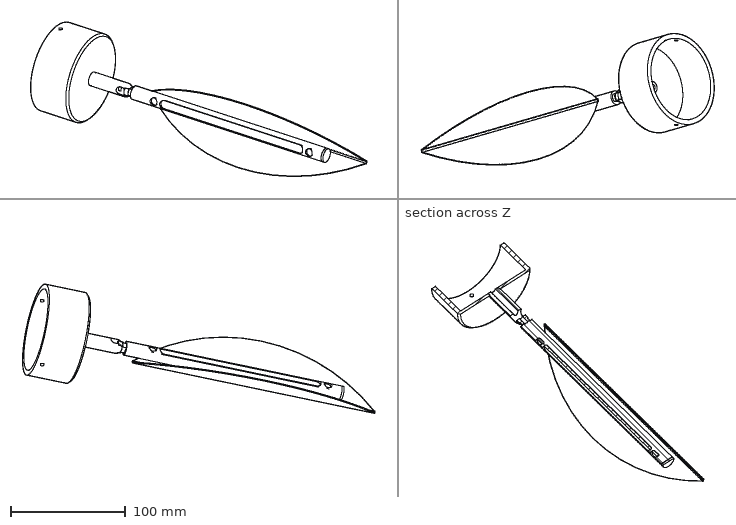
import cadquery as cq
import math

TILT = -11.5

CUP_RADIUS = 40.5
CUP_LENGTH = 38.0
CUP_WALL = 4.5
CUP_FLOOR = 3.0
CUP_CHAMFER = 2.0
SCREW_HOLE_RADIUS = 1.5
SCREW_HOLE_X = 5.5

ROD_RADIUS = 6.2
SPIGOT_RADIUS = 5.0
WIRE_BORE_RADIUS = 2.5
DOME_X = 72.5
ARM_END_X = 77.5
FORK_START_X = 66.5
FORK_WIDTH = 6.5

TONGUE_RADIUS = 5.0
NECK_RADIUS = 4.5
LINK_START_X = 73.5
LINK_BORE_RADIUS = 1.5

TUBE_START_X = 81.0
TUBE_END_X = 276.3
CAP_LENGTH = 2.0

WINDOW_CENTRE_X = 184.0
WINDOW_LENGTH = 146.5
WINDOW_WIDTH = 7.8
DISC_RADIUS = 3.5
DISC_SPACING = 159.2
POCKET_FLOOR_Y = -2.0
INSERT_FACE_Y = -4.0

LEAF_START_X = 91.3
LEAF_END_X = 311.5
LEAF_THICKNESS = 1.0
LEAF_BACK_Y = 12.8
SPINE_WIDTH = 2.5
WING_BULGE = 40.8
WING_ANGLE = 45.0


def rod(radius, start_x, end_x):
    """Cylinder on the X axis."""
    return cq.Workplane("YZ").workplane(offset=start_x).circle(radius).extrude(end_x - start_x)


def tilted(body):
    """The body turned about the X axis by the lamp's tilt."""
    return body.rotate((0, 0, 0), (1, 0, 0), TILT)


def make_cup():
    cup = rod(CUP_RADIUS, 0, CUP_LENGTH).faces(">X").edges().chamfer(CUP_CHAMFER)
    cup = cup.cut(rod(CUP_RADIUS - CUP_WALL, 0, CUP_LENGTH - CUP_FLOOR))
    cup = cup.cut(rod(SPIGOT_RADIUS, 0, CUP_LENGTH))
    screw_holes = (
        cq.Workplane("XY").center(SCREW_HOLE_X, 0).circle(SCREW_HOLE_RADIUS).extrude(CUP_RADIUS, both=True)
    )
    return cup.cut(screw_holes)


def make_arm():
    dome_length = ARM_END_X - DOME_X
    end_face_radius = math.sqrt(ROD_RADIUS**2 - dome_length**2)
    mid_angle = math.asin(dome_length / ROD_RADIUS) / 2
    dome_middle = (DOME_X + ROD_RADIUS * math.sin(mid_angle), ROD_RADIUS * math.cos(mid_angle))
    arm = (
        cq.Workplane("XY")
        .moveTo(CUP_LENGTH - CUP_FLOOR, 0)
        .lineTo(CUP_LENGTH - CUP_FLOOR, SPIGOT_RADIUS)
        .lineTo(CUP_LENGTH, SPIGOT_RADIUS)
        .lineTo(CUP_LENGTH, ROD_RADIUS)
        .lineTo(DOME_X, ROD_RADIUS)
        .threePointArc(dome_middle, (ARM_END_X, end_face_radius))
        .lineTo(ARM_END_X, 0)
        .close()
        .revolve(360, (0, 0, 0), (1, 0, 0))
    )
    arm = arm.cut(rod(WIRE_BORE_RADIUS, CUP_LENGTH - CUP_FLOOR, DOME_X))
    slot_radius = FORK_WIDTH / 2
    slot_centre_x = FORK_START_X + slot_radius
    slot = (
        cq.Workplane("XZ")
        .moveTo(ARM_END_X, slot_radius)
        .lineTo(slot_centre_x, slot_radius)
        .threePointArc((FORK_START_X, 0), (slot_centre_x, -slot_radius))
        .lineTo(ARM_END_X, -slot_radius)
        .close()
        .extrude(ROD_RADIUS, both=True)
    )
    return tilted(arm.cut(slot))


def make_link():
    length = TUBE_START_X - LINK_START_X
    flats = cq.Workplane("XY").box(length, 2 * TONGUE_RADIUS, FORK_WIDTH, centered=(False, True, True))
    tongue = rod(TONGUE_RADIUS, LINK_START_X, ARM_END_X)
    link = tongue.union(rod(NECK_RADIUS, ARM_END_X, TUBE_START_X))
    link = link.intersect(flats.translate((LINK_START_X, 0, 0)))
    return tilted(link.cut(rod(LINK_BORE_RADIUS, LINK_START_X, TUBE_START_X)))


def window_prism(outer_y):
    """Prism with the window's outline, from the pocket floor out to outer_y."""
    return (
        cq.Workplane("XZ")
        .workplane(offset=-POCKET_FLOOR_Y)
        .center(WINDOW_CENTRE_X, 0)
        .slot2D(WINDOW_LENGTH, WINDOW_WIDTH)
        .extrude(POCKET_FLOOR_Y - outer_y)
    )


def disc_prism(side, outer_y):
    """Round prism beyond one end of the window, from the pocket floor out to outer_y."""
    return (
        cq.Workplane("XZ")
        .workplane(offset=-POCKET_FLOOR_Y)
        .center(WINDOW_CENTRE_X + side * DISC_SPACING / 2, 0)
        .circle(DISC_RADIUS)
        .extrude(POCKET_FLOOR_Y - outer_y)
    )


def make_tube():
    tube = rod(ROD_RADIUS, TUBE_START_X, TUBE_END_X).cut(window_prism(-ROD_RADIUS))
    for side in (-1, 1):
        tube = tube.cut(disc_prism(side, -ROD_RADIUS))
    return tilted(tube)


def make_diffuser():
    return tilted(window_prism(INSERT_FACE_Y))


def make_disc(side):
    return tilted(disc_prism(side, INSERT_FACE_Y))


def make_end_cap():
    return tilted(rod(ROD_RADIUS, TUBE_END_X, TUBE_END_X + CAP_LENGTH))


def make_leaf():
    length = LEAF_END_X - LEAF_START_X
    middle_x = (LEAF_START_X + LEAF_END_X) / 2
    spine = cq.Workplane("XY").box(length, LEAF_THICKNESS, SPINE_WIDTH)
    spine = spine.translate((middle_x, LEAF_BACK_Y - LEAF_THICKNESS / 2, 0))
    upper_wing = (
        cq.Workplane("XZ")
        .moveTo(LEAF_START_X, 0)
        .threePointArc((middle_x, WING_BULGE), (LEAF_END_X, 0))
        .close()
        .extrude(LEAF_THICKNESS)
        .rotate((0, 0, 0), (1, 0, 0), WING_ANGLE)
        .translate((0, LEAF_BACK_Y, SPINE_WIDTH / 2))
    )
    return tilted(spine.union(upper_wing).union(upper_wing.mirror("XY")))


cup = make_cup()
arm = make_arm()
link = make_link()
tube = make_tube()
diffuser = make_diffuser()
discs = [make_disc(side) for side in (-1, 1)]
end_cap = make_end_cap()
leaf = make_leaf()

result = cq.Compound.makeCompound(
    [
        cup.val(),
        arm.val(),
        link.val(),
        tube.val(),
        diffuser.val(),
        *[disc.val() for disc in discs],
        end_cap.val(),
        leaf.val(),
    ]
)